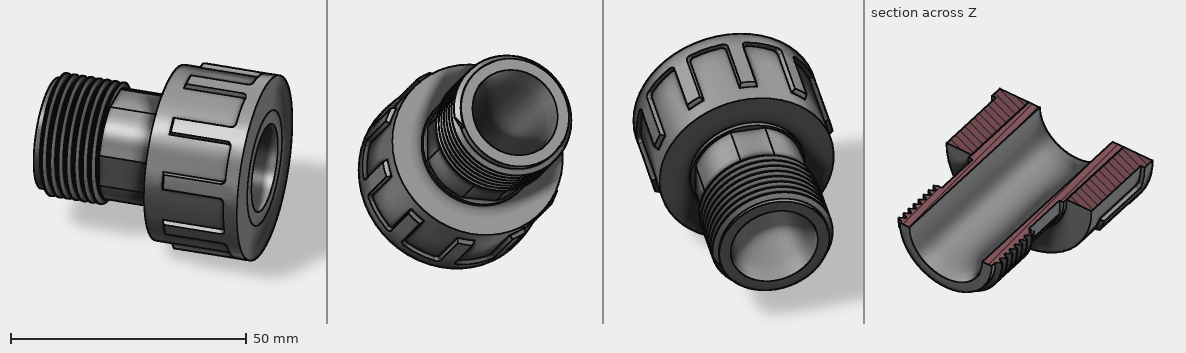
import cadquery as cq
import math


total_length = 47.75
nut_length = 21.0
collar_length = 1.1
nut_back = total_length - nut_length
collar_start = nut_back - collar_length
spigot_length = 14.5

bore_radius = 9.5
spigot_radius = 12.0
collar_radius = 12.5
neck_flat_distance = 11.4

thread_pitch = 1.814
thread_crest_radius = 13.22
thread_flank_angle = 27.5
crest_width = 0.3
thread_sink = 0.1
crest_at_start = 1.28
lead_in_angle = 20.0
lead_in_slope = 50.0

nut_body_radius = 19.0
nut_flange_radius = 20.0
nut_flange_length = 3.0
flange_start = total_length - nut_flange_length

rib_count = 10
rib_phase = 3.9
rib_offset = 4.0
rib_end_run = 0.5
rib_top_width = 3.25
rib_side_draft = 15.0
rib_corner_radius = 1.0
rib_overheight = 0.5
rib_root_radius = nut_body_radius - 1.0


def round_bar(start, end, radius):
    """Solid round bar along X."""
    return cq.Workplane("YZ", origin=(start, 0, 0)).circle(radius).extrude(end - start)


def make_thread_ridge():
    """Helical ridge, trimmed at the neck and by an oblique face at its start."""
    base_radius = spigot_radius - thread_sink
    ridge_height = thread_crest_radius - base_radius
    half_crest = crest_width / 2
    half_base = half_crest + ridge_height * math.tan(math.radians(thread_flank_angle))
    helix_start = crest_at_start - thread_pitch * lead_in_angle / 360
    helix_length = spigot_length + half_base - helix_start

    helix = cq.Wire.makeHelix(thread_pitch, helix_length, base_radius)
    ridge = (
        cq.Workplane("XZ")
        .polyline([
            (base_radius, -half_base),
            (thread_crest_radius, -half_crest),
            (thread_crest_radius, half_crest),
            (base_radius, half_base),
        ])
        .close()
        .sweep(cq.Workplane(helix), isFrenet=True)
        .rotate((0, 0, 0), (1, 1, 1), 120)
        .translate((helix_start, 0, 0))
        .rotate((0, 0, 0), (1, 0, 0), -lead_in_angle)
    )
    ridge = ridge.intersect(round_bar(0, spigot_length, 2 * thread_crest_radius))

    start_y = spigot_radius * math.cos(math.radians(lead_in_angle))
    start_z = -spigot_radius * math.sin(math.radians(lead_in_angle))
    lead_in_trim = (
        cq.Workplane("XY")
        .box(thread_pitch, 4 * ridge_height, 2 * ridge_height)
        .translate((0, 0, -ridge_height))
        .rotate((0, 0, 0), (1, 0, 0), lead_in_slope)
        .translate((helix_start, start_y, start_z))
    )
    return ridge.cut(lead_in_trim)


def make_tailpiece():
    """Threaded spigot, neck with four flats, and the collar tube carrying the nut."""
    neck_length = collar_start - spigot_length
    neck = (
        cq.Workplane("YZ", origin=(spigot_length, 0, 0))
        .rect(2 * neck_flat_distance, 2 * neck_flat_distance)
        .extrude(neck_length)
        .intersect(round_bar(spigot_length, collar_start, spigot_radius))
    )
    return (
        round_bar(0, spigot_length, spigot_radius)
        .union(make_thread_ridge())
        .union(neck)
        .union(round_bar(collar_start, total_length, collar_radius))
        .cut(round_bar(0, total_length, bore_radius))
    )


def make_rib():
    """One grip rib on the +Z side: drafted sides, sloped free end, rounded corners at the flange."""
    foot = nut_back + rib_offset
    block_top = nut_flange_radius + rib_overheight
    half_width = rib_top_width / 2
    draft_run = math.tan(math.radians(rib_side_draft))
    half_foot = half_width + (nut_flange_radius - rib_root_radius) * draft_run
    half_block_top = half_width - rib_overheight * draft_run
    bar = (
        cq.Workplane("YZ", origin=(foot, 0, 0))
        .polyline([
            (-half_foot, rib_root_radius),
            (-half_block_top, block_top),
            (half_block_top, block_top),
            (half_foot, rib_root_radius),
        ])
        .close()
        .extrude(flange_start - foot)
    )

    slab = cq.Workplane("XY").box(
        nut_flange_length, 4 * half_foot, block_top - rib_root_radius, centered=(False, True, False)
    ).translate((flange_start, 0, rib_root_radius))
    corners = cq.selectors.BoxSelector(
        (flange_start - rib_corner_radius / 2, -half_foot, rib_root_radius),
        (flange_start + rib_corner_radius / 2, half_foot, block_top),
    )
    rib = bar.union(slab).edges(corners).edges("not #Z").fillet(rib_corner_radius)

    end_slope = rib_end_run / (nut_flange_radius - nut_body_radius)
    side_outline = (
        cq.Workplane("XZ")
        .polyline([
            (foot, rib_root_radius),
            (foot, nut_body_radius),
            (foot + (block_top - nut_body_radius) * end_slope, block_top),
            (total_length, block_top),
            (total_length, rib_root_radius),
        ])
        .close()
        .extrude(2 * half_foot, both=True)
    )
    return rib.intersect(side_outline)


def make_nut():
    """Round nut with a front flange and grip ribs, bored to fit the collar tube."""
    nut = round_bar(nut_back, flange_start, nut_body_radius)
    nut = nut.union(round_bar(flange_start, total_length, nut_flange_radius + rib_overheight))
    rib = make_rib()
    for index in range(rib_count):
        angle = rib_phase + index * 360 / rib_count
        nut = nut.union(rib.rotate((0, 0, 0), (1, 0, 0), angle))
    nut = nut.intersect(round_bar(nut_back, total_length, nut_flange_radius))
    return nut.cut(round_bar(nut_back, total_length, collar_radius))


tailpiece = make_tailpiece()
nut = make_nut()

result = cq.Compound.makeCompound([tailpiece.val(), nut.val()])